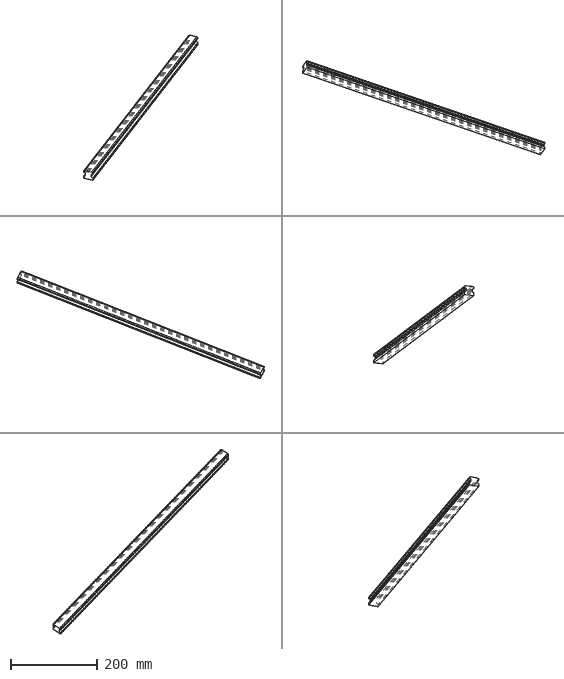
import cadquery as cq

length = 620.0
width = 23.0
height = 22.0

crown_width = 17.0
shoulder_drop = 1.5
flank_top = height - shoulder_drop
flank_bottom = 17.2
groove_width = 2.0
groove_depth = 1.0
groove_height = (flank_top + flank_bottom) / 2

waist_width = 15.0
waist_top = 13.7
waist_bottom = 10.0

base_slope_rise = (width - waist_width) / 2
base_side_height = waist_bottom - base_slope_rise


def half_section():
    """The +X half of the section, with its mounting face on Z = 0."""
    return (
        cq.Workplane("XZ")
        .moveTo(0, 0)
        .lineTo(width / 2, 0)
        .lineTo(width / 2, base_side_height)
        .lineTo(waist_width / 2, waist_bottom)
        .lineTo(waist_width / 2, waist_top)
        .lineTo(crown_width / 2, flank_bottom - shoulder_drop)
        .lineTo(width / 2, flank_bottom)
        .lineTo(width / 2, groove_height - groove_width / 2)
        .threePointArc(
            (width / 2 - groove_depth, groove_height),
            (width / 2, groove_height + groove_width / 2),
        )
        .lineTo(width / 2, flank_top)
        .lineTo(crown_width / 2, height)
        .lineTo(0, height)
    )


def rail():
    """Symmetric section extruded along Y, centred on the origin in plan."""
    return half_section().mirrorY().extrude(length / 2, both=True)


result = rail()